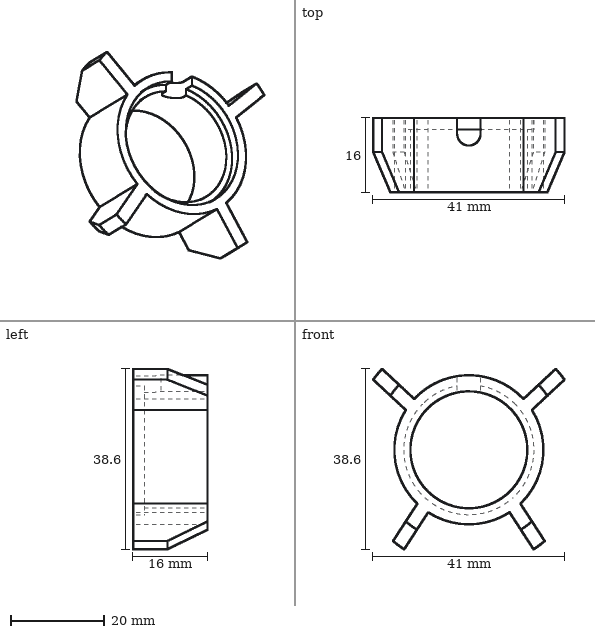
import cadquery as cq
import math

ring_length = 16.0
ring_radius = 16.0
bore_radius = 12.5

rear_bore_radius = 13.95
rear_bore_depth = 2.45

fin_tip_radius = 25.4
fin_front_radius = 20.4
fin_taper_length = 8.65
fin_thickness = 3.0
fin_angles = (43.0, -57.0)

notch_width = 5.0
notch_depth = 5.95


def disc(radius, start, length):
    """Solid cylinder on the Y axis, running towards +Y from start."""
    return cq.Workplane("XZ", origin=(0, start, 0)).circle(radius).extrude(-length)


def fin_envelope():
    """Revolved body that gives the fins their round tips and tapered fronts."""
    return (
        cq.Workplane("XY")
        .moveTo(0, 0)
        .lineTo(fin_front_radius, 0)
        .lineTo(fin_tip_radius, fin_taper_length)
        .lineTo(fin_tip_radius, ring_length)
        .lineTo(0, ring_length)
        .close()
        .revolve(360, (0, 0, 0), (0, 1, 0))
    )


def fin_slab(angle):
    """Plate with one flank on the radial plane and its thickness towards the X axis."""
    thickness_side = -math.copysign(fin_thickness / 2, angle)
    return (
        cq.Workplane("XY")
        .box(fin_tip_radius, ring_length, fin_thickness, centered=(False, False, True))
        .translate((0, 0, thickness_side))
        .rotate((0, 0, 0), (0, 1, 0), -angle)
    )


def rear_notch():
    """Vertical cutter, open at the rear face, with a half-round front end."""
    end_radius = notch_width / 2
    end_center = ring_length - notch_depth + end_radius
    return (
        cq.Workplane("XY")
        .moveTo(-end_radius, ring_length)
        .lineTo(-end_radius, end_center)
        .threePointArc((0, end_center - end_radius), (end_radius, end_center))
        .lineTo(end_radius, ring_length)
        .close()
        .extrude(ring_radius)
    )


fins = cq.Workplane("XY")
for fin_angle in fin_angles:
    fin = fin_slab(fin_angle).intersect(fin_envelope())
    fins = fins.add(fin).add(fin.mirror("YZ"))

result = disc(ring_radius, 0, ring_length)
for fin in fins.vals():
    result = result.union(cq.Workplane(fin))
result = (
    result.cut(disc(bore_radius, 0, ring_length))
    .cut(disc(rear_bore_radius, ring_length - rear_bore_depth, rear_bore_depth))
    .cut(rear_notch())
)